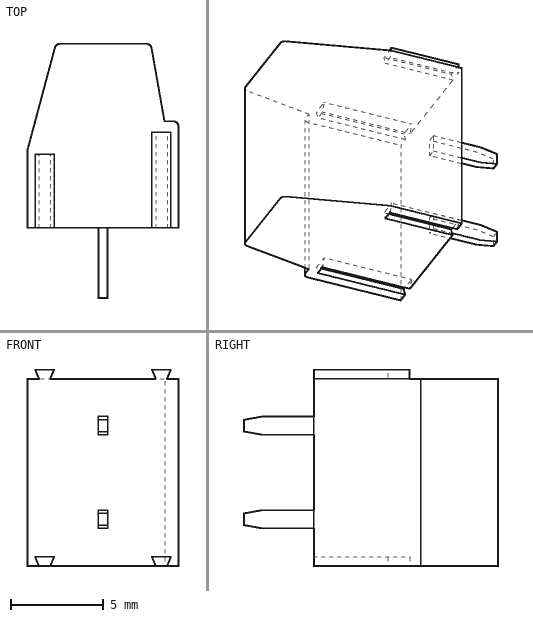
import cadquery as cq
import math


pole_pitch = 5.08
pole_count = 2

housing_width = 8.2
housing_depth = 10.0
housing_height = pole_count * pole_pitch
left_wall_depth = 4.25
left_slope_angle = 15.0
ledge_depth = 5.8
ledge_width = 0.76
right_slope_angle = 10.0
corner_radius = 0.3

dovetail_height = 0.5
dovetail_wide = 1.04
dovetail_narrow = 0.62
dovetail_spacing = 6.34
left_dovetail_length = 4.0
right_dovetail_length = 5.2

pin_thickness = 0.5
pin_width = 1.0
pin_length = 3.8
pin_taper_length = 1.0
pin_taper_angle = 10.0

half_width = housing_width / 2


def make_housing():
    """Housing with a slope on each side and a ledge at the right."""
    left_run = (housing_depth - left_wall_depth) * math.tan(math.radians(left_slope_angle))
    right_run = (housing_depth - ledge_depth) * math.tan(math.radians(right_slope_angle))
    back_left = (-half_width + left_run, housing_depth)
    ledge_inner = (half_width - ledge_width, ledge_depth)
    back_right = (ledge_inner[0] - right_run, housing_depth)
    ledge_outer = (half_width, ledge_depth)

    body = (
        cq.Workplane("XY")
        .moveTo(-half_width, 0)
        .lineTo(half_width, 0)
        .lineTo(*ledge_outer)
        .lineTo(*ledge_inner)
        .lineTo(*back_right)
        .lineTo(*back_left)
        .lineTo(-half_width, left_wall_depth)
        .close()
        .extrude(housing_height)
    )
    for corner in (back_left, back_right, ledge_outer):
        edge_middle = (*corner, housing_height / 2)
        body = body.edges(cq.selectors.NearestToPointSelector(edge_middle)).fillet(corner_radius)
    return body


def make_dovetail(center_x, base_z, length):
    """Dovetail bar along +Y from the solder face, narrow at base_z and wide above it."""
    return (
        cq.Workplane("XZ")
        .moveTo(center_x - dovetail_narrow / 2, base_z)
        .lineTo(center_x + dovetail_narrow / 2, base_z)
        .lineTo(center_x + dovetail_wide / 2, base_z + dovetail_height)
        .lineTo(center_x - dovetail_wide / 2, base_z + dovetail_height)
        .close()
        .extrude(-length)
    )


def make_pin(center_z):
    """Flat pin along -Y, tapered in Z towards its tip."""
    root_half = pin_width / 2
    tip_half = root_half - pin_taper_length * math.tan(math.radians(pin_taper_angle))
    taper_start = -pin_length + pin_taper_length
    return (
        cq.Workplane("YZ", origin=(0, 0, center_z))
        .moveTo(0, -root_half)
        .lineTo(0, root_half)
        .lineTo(taper_start, root_half)
        .lineTo(-pin_length, tip_half)
        .lineTo(-pin_length, -tip_half)
        .lineTo(taper_start, -root_half)
        .close()
        .extrude(pin_thickness / 2, both=True)
    )


result = make_housing()

dovetails = (
    (-dovetail_spacing / 2, left_dovetail_length),
    (dovetail_spacing / 2, right_dovetail_length),
)
for dovetail_x, dovetail_length in dovetails:
    result = result.union(make_dovetail(dovetail_x, housing_height, dovetail_length))
    result = result.cut(make_dovetail(dovetail_x, 0, dovetail_length))

for pole in range(pole_count):
    result = result.union(make_pin((pole + 0.5) * pole_pitch))